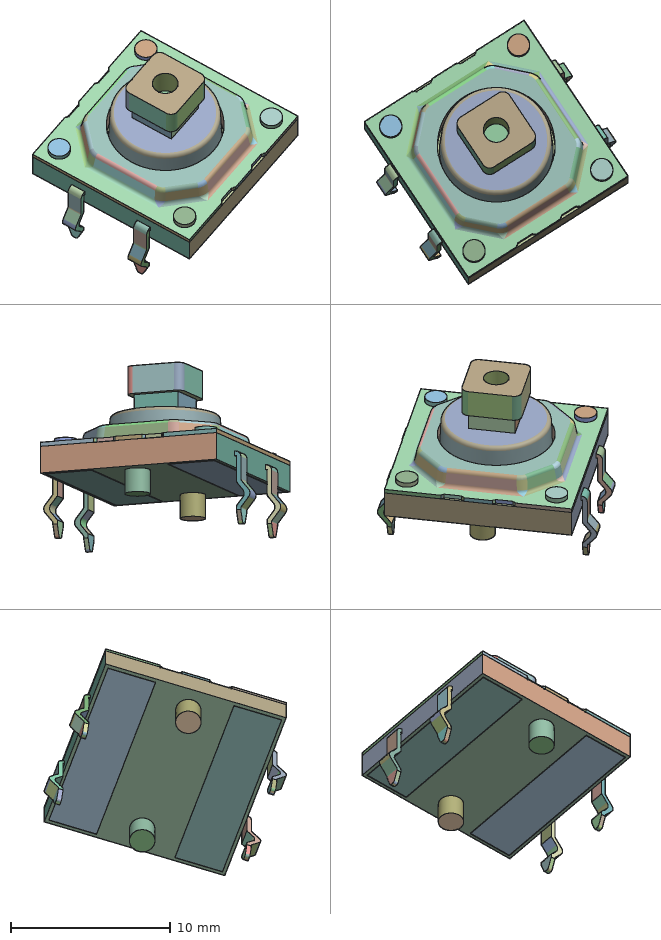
import cadquery as cq
import math


base_side = 12.0
base_height = 1.7
foot_height = 0.04
foot_reach = 5.76
foot_inner = 2.6

post_diameter = 1.6
post_offset = 4.5
post_length = 1.52

rivet_diameter = 1.4
rivet_offset = 4.8
rivet_protrusion = 0.31

plate_thickness = 0.27
dome_height = 1.12
dome_left = -4.78
dome_right = 4.96
dome_half_depth = 4.78
dome_left_cut = 2.2
dome_right_cut = 2.1
dome_taper = 11.0
dome_fillet = 0.27
dome_corner_radius = 0.91
cover_hole_diameter = 7.4
notch_depth = 0.17
notch_centre = 1.65
notch_length = 1.3

button_diameter = 7.15
button_top = 4.25
button_taper = 2.3
button_fillet = 0.27
stem_side = 3.0
cap_side = 3.84
cap_bottom = 5.47
cap_top = 7.25
cap_corner_radius = 0.5
cap_hole_diameter = 1.6

lead_width = 1.0
lead_thickness = 0.31
lead_pitch = 5.0
lead_top = 1.05
lead_outer_y = 6.41
lead_bend_radius = 0.38
lead_reach = 7.03
kink_z = -1.7
kink_radius = 0.4
kink_root_radius = 0.13
kink_angle = 40.0
lead_bottom = -3.55
tip_start = -2.73
tip_half_width = 0.18
tip_radius = 0.18

plate_top = base_height + plate_thickness
dome_top = plate_top + dome_height
cap_hole_depth = cap_top - cap_bottom


def make_rivets():
    return (
        cq.Workplane("XY", origin=(0, 0, base_height))
        .rect(2 * rivet_offset, 2 * rivet_offset, forConstruction=True).vertices()
        .circle(rivet_diameter / 2).extrude(plate_thickness + rivet_protrusion)
    )


def make_lead(x_centre):
    """Kinked lead on the +Y side, its upper end flush with the base wall."""
    wall_y = base_side / 2
    inner_y = lead_outer_y - lead_thickness
    angle = math.radians(kink_angle)
    outer_apex = lead_reach + kink_radius * (1 / math.cos(angle) - 1)
    inner_apex = outer_apex - lead_thickness / math.cos(angle)
    outer_rise = (outer_apex - lead_outer_y) / math.tan(angle)
    inner_rise = (inner_apex - inner_y) / math.tan(angle)
    outline = [
        (wall_y, lead_top),
        (lead_outer_y, lead_top),
        (lead_outer_y, kink_z + outer_rise),
        (outer_apex, kink_z),
        (lead_outer_y, kink_z - outer_rise),
        (lead_outer_y, lead_bottom),
        (inner_y, lead_bottom),
        (inner_y, kink_z - inner_rise),
        (inner_apex, kink_z),
        (inner_y, kink_z + inner_rise),
        (inner_y, lead_top - lead_thickness),
        (wall_y, lead_top - lead_thickness),
    ]
    strip = (
        cq.Workplane("YZ", origin=(x_centre - lead_width / 2, 0, 0))
        .polyline(outline).close().extrude(lead_width)
    )
    bends = [
        (lead_outer_y, lead_top, lead_bend_radius),
        (outer_apex, kink_z, kink_radius),
        (inner_apex, kink_z, kink_radius),
        (lead_outer_y, kink_z + outer_rise, kink_root_radius),
        (lead_outer_y, kink_z - outer_rise, kink_root_radius),
    ]
    for bend_y, bend_z, bend_radius in bends:
        corner = cq.NearestToPointSelector((x_centre, bend_y, bend_z))
        strip = strip.edges(corner).fillet(bend_radius)
    half_width = lead_width / 2
    tip_outline = (
        cq.Workplane("XZ", origin=(x_centre, 0, 0))
        .polyline([
            (-half_width, lead_top), (half_width, lead_top), (half_width, tip_start),
            (tip_half_width, lead_bottom), (-tip_half_width, lead_bottom), (-half_width, tip_start),
        ])
        .close().extrude(-base_side)
        .edges("|Y and <Z").fillet(tip_radius)
    )
    return strip.intersect(tip_outline)


def make_base():
    base = cq.Workplane("XY").box(base_side, base_side, base_height, centered=(True, True, False))
    foot_depth = foot_reach - foot_inner
    foot_y = (foot_reach + foot_inner) / 2
    feet = (
        cq.Workplane("XY").pushPoints([(0, -foot_y), (0, foot_y)])
        .rect(2 * foot_reach, foot_depth).extrude(-foot_height)
    )
    posts = (
        cq.Workplane("XY").pushPoints([(-post_offset, 0), (post_offset, 0)])
        .circle(post_diameter / 2).extrude(-post_length)
    )
    base = base.union(feet).union(posts).union(make_rivets())
    for x_centre in (-lead_pitch / 2, lead_pitch / 2):
        lead = make_lead(x_centre)
        base = base.union(lead).union(lead.mirror("XZ"))
    return base


def make_notch(x_side, y_side):
    """Edge notch through the plate, flared at its mouth and rounded at its inner corners."""
    edge_x = base_side / 2
    radius = notch_depth / 2
    middle_x = edge_x - radius
    inner_x = edge_x - notch_depth
    near_y = notch_centre - notch_length / 2
    far_y = notch_centre + notch_length / 2
    notch = (
        cq.Workplane("XY", origin=(0, 0, base_height))
        .moveTo(edge_x, near_y - radius)
        .radiusArc((middle_x, near_y), radius)
        .radiusArc((inner_x, near_y + radius), -radius)
        .lineTo(inner_x, far_y - radius)
        .radiusArc((middle_x, far_y), -radius)
        .radiusArc((edge_x, far_y + radius), radius)
        .close().extrude(plate_thickness)
    )
    if x_side < 0:
        notch = notch.mirror("YZ")
    if y_side < 0:
        notch = notch.mirror("XZ")
    return notch


def dome_zone(level):
    """Selects the edges whose centres lie near one level, inside the plate's rim."""
    half_width = rivet_offset + rivet_diameter / 2
    half_height = dome_fillet
    return cq.selectors.BoxSelector(
        (-half_width, -half_width, level - half_height),
        (half_width, half_width, level + half_height),
    )


def make_cover():
    plate = (
        cq.Workplane("XY", origin=(0, 0, base_height))
        .rect(base_side, base_side).extrude(plate_thickness)
    )
    left_x = dome_left + dome_left_cut
    right_x = dome_right - dome_right_cut
    left_y = dome_half_depth - dome_left_cut
    right_y = dome_half_depth - dome_right_cut
    dome = (
        cq.Workplane("XY", origin=(0, 0, plate_top))
        .polyline([
            (left_x, -dome_half_depth), (right_x, -dome_half_depth),
            (dome_right, -right_y), (dome_right, right_y),
            (right_x, dome_half_depth), (left_x, dome_half_depth),
            (dome_left, left_y), (dome_left, -left_y),
        ])
        .close().extrude(dome_height, taper=dome_taper)
    )
    cover = plate.union(dome)
    cover = cover.edges(dome_zone(plate_top)).fillet(dome_fillet)
    cover = cover.edges(dome_zone((plate_top + dome_top) / 2)).fillet(dome_corner_radius)
    cover = cover.faces(">Z").edges().fillet(dome_fillet)
    button_hole = (
        cq.Workplane("XY", origin=(0, 0, base_height))
        .circle(cover_hole_diameter / 2).extrude(dome_top - base_height)
    )
    cover = cover.cut(button_hole).cut(make_rivets())
    for x_side in (-1, 1):
        for y_side in (-1, 1):
            cover = cover.cut(make_notch(x_side, y_side))
    return cover


def make_button():
    collar = (
        cq.Workplane("XY", origin=(0, 0, base_height))
        .circle(button_diameter / 2).extrude(button_top - base_height, taper=button_taper)
        .faces(">Z").edges().fillet(button_fillet)
    )
    stem = (
        cq.Workplane("XY", origin=(0, 0, button_top))
        .rect(stem_side, stem_side).extrude(cap_bottom - button_top)
    )
    cap = (
        cq.Workplane("XY", origin=(0, 0, cap_bottom))
        .rect(cap_side, cap_side).extrude(cap_top - cap_bottom)
        .edges("|Z").fillet(cap_corner_radius)
    )
    cap_hole = (
        cq.Workplane("XY", origin=(0, 0, cap_top))
        .circle(cap_hole_diameter / 2).extrude(-cap_hole_depth)
    )
    return collar.union(stem).union(cap).cut(cap_hole)


base = make_base()
cover = make_cover()
button = make_button()
result = cq.Compound.makeCompound([base.val(), cover.val(), button.val()])